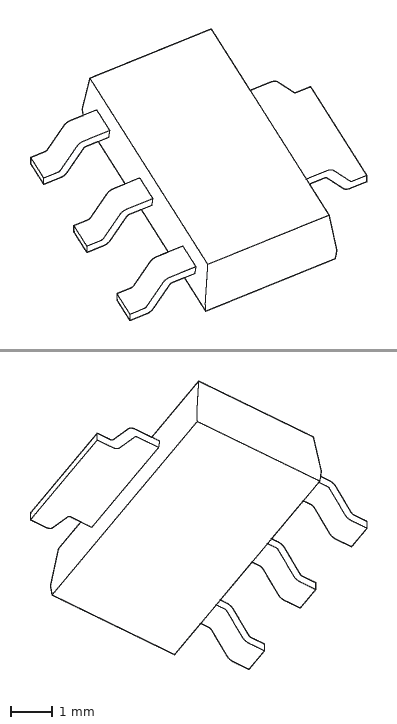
import cadquery as cq
import math

span = 7.0
total_height = 1.74

body_x = 6.58
body_y = 3.57
body_bottom = 0.05
parting_z = 0.405
top_inset = 0.14
bottom_inset = 0.03

metal_thickness = 0.26
shoulder_top = 1.1
foot_length = 0.43
slope_angle = 57.5
outer_radius = 0.23
inner_radius = 0.085
embed = 0.35
lead_width = 0.7
lead_pitch = 2.3
tab_width = 3.0


def tapered_block(end_z, inset):
    """Half of the body, from the parting line to end_z."""
    return (
        cq.Workplane("XY", origin=(0, 0, parting_z))
        .rect(body_x, body_y)
        .workplane(offset=end_z - parting_z)
        .rect(body_x - 2 * inset, body_y - 2 * inset)
        .loft(ruled=True, combine=True)
    )


def bent_strip(width, x):
    """Gull-wing strip on the +Y side, centred on x."""
    foot_end = span / 2
    buried_end = body_y / 2 - embed
    shoulder_bottom = shoulder_top - metal_thickness

    angle = math.radians(slope_angle)
    corner_shift = metal_thickness * math.tan(angle / 2)
    slope_run = (shoulder_top - metal_thickness) / math.tan(angle)
    foot_inner = foot_end - foot_length
    foot_outer = foot_inner - corner_shift
    shoulder_outer = foot_inner - slope_run
    shoulder_inner = foot_outer - slope_run

    strip = (
        cq.Workplane("YZ", origin=(x - width / 2, 0, 0))
        .moveTo(foot_end, 0)
        .lineTo(foot_end, metal_thickness)
        .lineTo(foot_inner, metal_thickness)
        .lineTo(shoulder_outer, shoulder_top)
        .lineTo(buried_end, shoulder_top)
        .lineTo(buried_end, shoulder_bottom)
        .lineTo(shoulder_inner, shoulder_bottom)
        .lineTo(foot_outer, 0)
        .close()
        .extrude(width)
    )

    def bend_edge(y, z):
        return cq.selectors.NearestToPointSelector((x, y, z))

    outer_bends = bend_edge(shoulder_outer, shoulder_top) + bend_edge(foot_outer, 0)
    inner_bends = bend_edge(shoulder_inner, shoulder_bottom) + bend_edge(foot_inner, metal_thickness)
    strip = strip.edges(outer_bends).fillet(outer_radius)
    return strip.edges(inner_bends).fillet(inner_radius)


body = tapered_block(total_height, top_inset).union(tapered_block(body_bottom, bottom_inset))

result = body.union(bent_strip(tab_width, 0))
for index in (-1, 0, 1):
    lead = bent_strip(lead_width, index * lead_pitch).mirror("XZ")
    result = result.union(lead)